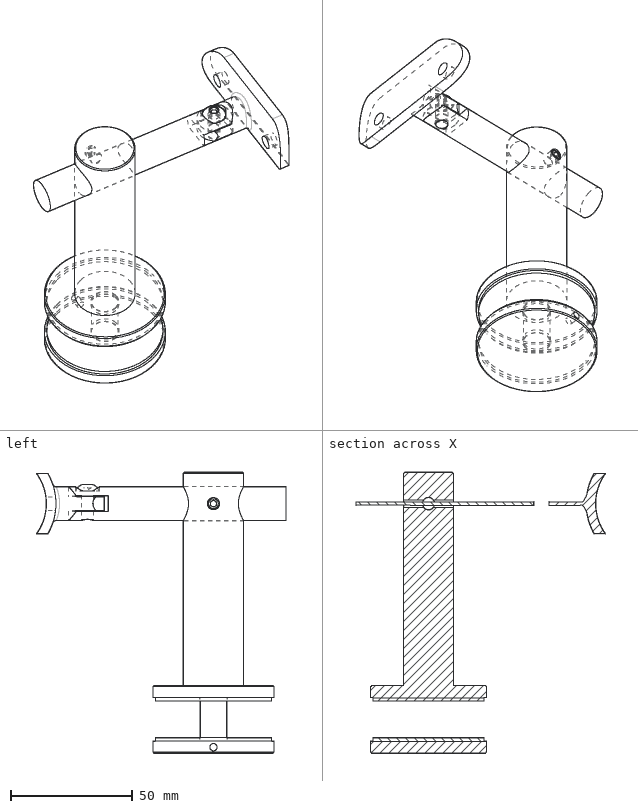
import cadquery as cq
import math


disc_diameter = 50.0
disc_thickness = 5.0
disc_edge_chamfer = 0.5
gasket_diameter = 48.0
gasket_thickness = 1.5
glass_gap = 15.0
spacer_diameter = 11.0
spacer_hole_diameter = 11.5
pin_hole_diameter = 3.0
pin_hole_depth = 5.0
drill_tip_angle = 118.0

post_diameter = 25.0
post_length = 88.0
post_top_chamfer = 0.5
arm_bore_diameter = 14.2
arm_axis_below_top = 13.0

arm_diameter = 14.0
arm_rear_y = -30.0
hinge_y = 52.0
fork_nose_radius = 7.75
fork_slot_height = 6.4
fork_slot_depth = 8.5
fork_hole_diameter = 5.0
head_recess_diameter = 10.0

saddle_length = 65.0
saddle_width = 25.0
saddle_thickness = 4.0
handrail_radius = 21.2
saddle_back_y = 65.0
saddle_hole_diameter = 5.5
saddle_hole_spacing = 40.0
stub_fillet_radius = 1.5
tongue_thickness = 5.7
tongue_nose_radius = 7.5
tongue_reach = 7.0

head_diameter = 9.5
head_height = 2.75
head_top_above_axis = 8.0
head_flat_diameter = 4.0
head_dome_bulge = 0.5
hinge_screw_end_below_axis = 6.5
hinge_socket_width = 3.0
hinge_socket_depth = 1.5

set_screw_diameter = 5.0
set_screw_chamfer = 0.5
set_screw_recess = 0.3
set_socket_width = 2.5
set_socket_depth = 2.0

lower_gasket_z = disc_thickness
glass_bottom_z = lower_gasket_z + gasket_thickness
upper_gasket_z = glass_bottom_z + glass_gap
upper_disc_z = upper_gasket_z + gasket_thickness
post_bottom_z = upper_disc_z + disc_thickness
post_top_z = post_bottom_z + post_length
arm_axis_z = post_top_z - arm_axis_below_top

arm_radius = arm_diameter / 2
handrail_axis_y = saddle_back_y + saddle_thickness + handrail_radius
slot_end_y = hinge_y - fork_slot_depth
tongue_nose_center_y = hinge_y - tongue_reach + tongue_nose_radius
head_seat_z = arm_axis_z + head_top_above_axis - head_height


def cylinder_z(diameter, bottom_z, height, center_y=0.0):
    return cq.Workplane("XY", origin=(0, center_y, bottom_z)).circle(diameter / 2).extrude(height)


def cylinder_x(diameter, start_x, length, center_z):
    return cq.Workplane("YZ", origin=(start_x, 0, center_z)).circle(diameter / 2).extrude(length)


def cylinder_y(diameter, start_y, end_y):
    plane = cq.Plane(origin=(0, start_y, arm_axis_z), xDir=(1, 0, 0), normal=(0, 1, 0))
    return cq.Workplane(plane).circle(diameter / 2).extrude(end_y - start_y)


def hinge_cylinder(radius, bottom_z, top_z, center_y=hinge_y):
    return cylinder_z(2 * radius, bottom_z, top_z - bottom_z, center_y)


def drill_tip_length(radius):
    return radius / math.tan(math.radians(drill_tip_angle / 2))


def hex_socket(width, depth):
    """Cutter for a hexagon socket with a conical floor, sunk downward from Z = 0."""
    corner_diameter = width / math.cos(math.radians(30))
    hexagon = cq.Workplane("XY").polygon(6, corner_diameter).extrude(-depth)
    tip_length = drill_tip_length(width / 2)
    tip = cq.Solid.makeCone(width / 2, 0, tip_length, pnt=(0, 0, -depth), dir=(0, 0, -1))
    return hexagon.union(cq.Workplane(tip))


def make_lower_disc():
    disc = cylinder_z(disc_diameter, 0, disc_thickness).faces("<Z").edges().chamfer(disc_edge_chamfer)
    hole_z = disc_thickness / 2
    hole = cylinder_x(pin_hole_diameter, -disc_diameter / 2, pin_hole_depth, hole_z)
    tip_x = pin_hole_depth - disc_diameter / 2
    tip_length = drill_tip_length(pin_hole_diameter / 2)
    tip = cq.Solid.makeCone(pin_hole_diameter / 2, 0, tip_length, pnt=(tip_x, 0, hole_z), dir=(1, 0, 0))
    return disc.cut(hole).cut(cq.Workplane(tip))


def make_gasket(bottom_z):
    ring = cylinder_z(gasket_diameter, bottom_z, gasket_thickness)
    return ring.cut(cylinder_z(spacer_hole_diameter, bottom_z, gasket_thickness))


def make_spacer():
    return cylinder_z(spacer_diameter, lower_gasket_z, upper_disc_z - lower_gasket_z)


def make_post():
    """Post with its foot disc, cross-bored for the arm and the set screw."""
    column = cylinder_z(post_diameter, post_bottom_z, post_length)
    column = column.faces(">Z").edges().chamfer(post_top_chamfer)
    foot = cylinder_z(disc_diameter, upper_disc_z, disc_thickness)
    foot = foot.faces(">Z").edges().chamfer(disc_edge_chamfer)
    arm_bore = cylinder_y(arm_bore_diameter, -post_diameter, post_diameter)
    set_screw_hole = cylinder_x(set_screw_diameter, -post_diameter / 2, post_diameter / 2, arm_axis_z)
    return column.union(foot).cut(arm_bore).cut(set_screw_hole)


def make_arm():
    """Round bar whose fork has a nose rounded about the hinge axis."""
    top_z = arm_axis_z + arm_diameter
    bottom_z = arm_axis_z - arm_diameter
    arm = cylinder_y(arm_diameter, arm_rear_y, hinge_y)
    nose = cylinder_y(arm_diameter, hinge_y, hinge_y + arm_diameter)
    arm = arm.union(nose.intersect(hinge_cylinder(fork_nose_radius, bottom_z, top_z)))
    slot_length = fork_slot_depth + arm_diameter
    slot = cq.Workplane("XY").box(arm_diameter, slot_length, fork_slot_height, centered=(True, False, True))
    arm = arm.cut(slot.translate((0, slot_end_y, arm_axis_z)))
    arm = arm.cut(hinge_cylinder(fork_hole_diameter / 2, bottom_z, top_z))
    return arm.cut(hinge_cylinder(head_recess_diameter / 2, head_seat_z, top_z))


def make_saddle_plate():
    """Round-ended plate bent to the handrail tube."""
    band = (
        cq.Workplane("YZ", origin=(-saddle_length / 2, handrail_axis_y, arm_axis_z))
        .circle(handrail_radius + saddle_thickness)
        .circle(handrail_radius)
        .extrude(saddle_length)
    )
    outline = (
        cq.Workplane("XZ", origin=(0, handrail_axis_y, arm_axis_z))
        .slot2D(saddle_length, saddle_width)
        .extrude(2 * handrail_radius)
    )
    return band.intersect(outline)


def make_saddle():
    """Saddle plate with a stub whose tongue enters the fork of the arm."""
    plate_middle_y = saddle_back_y + saddle_thickness / 2
    stub = cylinder_y(arm_diameter, hinge_y, plate_middle_y)
    saddle = make_saddle_plate().union(stub)
    root_margin = stub_fillet_radius
    root_box = cq.selectors.BoxSelector(
        (-arm_diameter, saddle_back_y - root_margin, arm_axis_z - arm_diameter),
        (arm_diameter, plate_middle_y, arm_axis_z + arm_diameter),
    )
    saddle = saddle.edges(root_box).fillet(stub_fillet_radius)

    tongue_top_z = arm_axis_z + tongue_thickness / 2
    tongue_bottom_z = arm_axis_z - tongue_thickness / 2
    top_z = arm_axis_z + arm_diameter
    bottom_z = arm_axis_z - arm_diameter
    saddle = saddle.cut(hinge_cylinder(fork_nose_radius, tongue_top_z, top_z))
    saddle = saddle.cut(hinge_cylinder(fork_nose_radius, bottom_z, tongue_bottom_z))
    tongue = cylinder_y(arm_diameter, hinge_y - arm_diameter, hinge_y)
    nose = hinge_cylinder(tongue_nose_radius, tongue_bottom_z, tongue_top_z, tongue_nose_center_y)
    saddle = saddle.union(tongue.intersect(nose))
    saddle = saddle.cut(hinge_cylinder(fork_hole_diameter / 2, bottom_z, top_z))

    holes = (
        cq.Workplane("XZ", origin=(0, handrail_axis_y, arm_axis_z))
        .pushPoints([(-saddle_hole_spacing / 2, 0), (saddle_hole_spacing / 2, 0)])
        .circle(saddle_hole_diameter / 2)
        .extrude(2 * handrail_radius)
    )
    return saddle.cut(holes)


def make_hinge_screw():
    """Button head screw, turned about the hinge axis."""
    head_top_z = arm_axis_z + head_top_above_axis
    shank_end = -(head_top_above_axis + hinge_screw_end_below_axis)
    flat_radius = head_flat_diameter / 2
    head_radius = head_diameter / 2
    shank_radius = fork_hole_diameter / 2
    screw = (
        cq.Workplane("XZ")
        .moveTo(0, 0)
        .lineTo(flat_radius, 0)
        .sagittaArc((head_radius, -head_height), head_dome_bulge)
        .lineTo(shank_radius, -head_height)
        .lineTo(shank_radius, shank_end)
        .lineTo(0, shank_end)
        .close()
        .revolve(360, (0, 0, 0), (0, 1, 0))
    )
    screw = screw.cut(hex_socket(hinge_socket_width, hinge_socket_depth))
    return screw.translate((0, hinge_y, head_top_z))


def make_set_screw():
    """Headless screw from just inside the post surface to the side of the arm."""
    outer_x = set_screw_recess - post_diameter / 2
    length = -arm_radius - outer_x
    screw = cq.Workplane("XY").circle(set_screw_diameter / 2).extrude(-length)
    screw = screw.faces(">Z").edges().chamfer(set_screw_chamfer)
    screw = screw.cut(hex_socket(set_socket_width, set_socket_depth))
    return screw.rotate((0, 0, 0), (0, 1, 0), -90).translate((outer_x, 0, arm_axis_z))


lower_disc = make_lower_disc()
gaskets = [make_gasket(bottom_z) for bottom_z in (lower_gasket_z, upper_gasket_z)]
spacer = make_spacer()
post = make_post()
arm = make_arm()
saddle = make_saddle()
hinge_screw = make_hinge_screw()
set_screw = make_set_screw()

bodies = [lower_disc, *gaskets, spacer, post, arm, saddle, hinge_screw, set_screw]
result = cq.Compound.makeCompound([body.solids().val() for body in bodies])